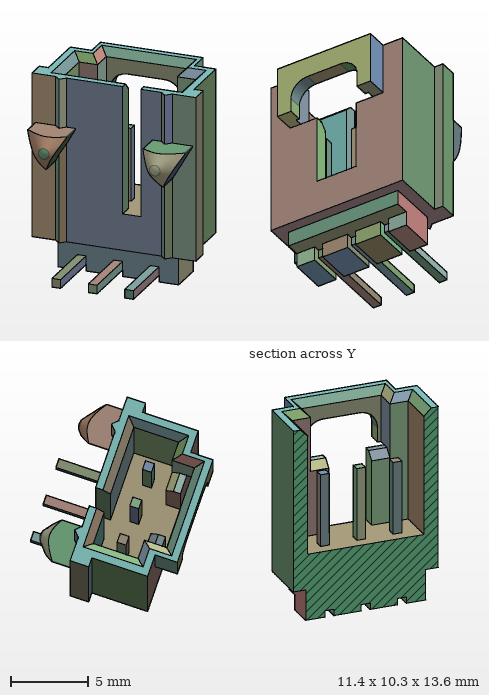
import cadquery as cq
import math

PITCH = 2.54
PIN_COUNT = 3
PIN_SIZE = 0.61

HOUSING_HEIGHT = 11.43
FLANGE_WIDTH = 11.43
FLANGE_DEPTH = 1.27
BODY_WIDTH = 10.16
BODY_DEPTH = 5.08

HOOD_WIDTH = 7.16
HOOD_BACK = 6.60
HOOD_BOTTOM = 7.62

FLOOR_Z = 2.54
CAVITY_WIDTH = 8.12
CAVITY_FRONT = 1.02
CAVITY_BACK = 4.08
HOOD_CAVITY_WIDTH = 5.56
HOOD_CAVITY_BACK = 5.60
LEAD_IN = 0.52

KEY_SLOT_LEFT = 0.61
KEY_SLOT_WIDTH = 1.27
BACK_GAP_WIDTH = 3.0
LATCH_WINDOW_WIDTH = 5.08
LATCH_WINDOW_TOP = 9.91
LATCH_WINDOW_RADIUS = 1.27

RIB_X = 3.69
RIB_HEIGHT = 0.38

PEG_X = 4.08
PEG_TOP = 8.01
PEG_SIDE = 2.89
PEG_CORNER_RADIUS = 0.04
NOSE_X = 3.87
NOSE_Z = 7.0
NOSE_LENGTH = 2.66
DOME_BASE = 2.55
DOME_RADIUS = 0.37
CONE_HALF_ANGLE = 51.0
CONE_BASE_RADIUS = 2.2

BASE_WIDTH = 8.43
BASE_FRONT = 0.75
BASE_BACK = 4.30
BASE_STEP_BACK = 3.30
BASE_STEP_DROP = 1.10
BASE_DROP = 2.16

PIN_Y = 2.54
PIN_FRONT = -3.69
PIN_TOP = 7.62


def box(x_range, y_range, z_range):
    """Axis-aligned box between pairs of limits."""
    size = [high - low for low, high in (x_range, y_range, z_range)]
    corner = (x_range[0], y_range[0], z_range[0])
    return cq.Workplane("XY").box(*size, centered=False).translate(corner)


def centred_box(width, y_range, z_range):
    """Box centred on X = 0."""
    return box((-width / 2, width / 2), y_range, z_range)


def lead_in_pocket(width, y_range, floor, top):
    """Rectangular pocket whose mouth widens at 45 degrees up to the top."""
    y_middle = sum(y_range) / 2
    depth = y_range[1] - y_range[0]
    straight = centred_box(width, y_range, (floor, top))
    mouth = (
        cq.Workplane("XY", origin=(0, y_middle, top - LEAD_IN))
        .rect(width, depth)
        .workplane(offset=LEAD_IN)
        .rect(width + 2 * LEAD_IN, depth + 2 * LEAD_IN)
        .loft(ruled=True)
    )
    return straight.union(mouth)


def housing_outside():
    full_height = (0, HOUSING_HEIGHT)
    flange = centred_box(FLANGE_WIDTH, (0, FLANGE_DEPTH), full_height)
    body = centred_box(BODY_WIDTH, (0, BODY_DEPTH), full_height)
    hood = centred_box(HOOD_WIDTH, (CAVITY_BACK, HOOD_BACK), (HOOD_BOTTOM, HOUSING_HEIGHT))
    return flange.union(body).union(hood)


def socket_cavity():
    socket = lead_in_pocket(CAVITY_WIDTH, (CAVITY_FRONT, CAVITY_BACK), FLOOR_Z, HOUSING_HEIGHT)
    hood_space = lead_in_pocket(
        HOOD_CAVITY_WIDTH, (CAVITY_FRONT, HOOD_CAVITY_BACK), HOOD_BOTTOM, HOUSING_HEIGHT
    )
    back_wall_bevel = (
        cq.Workplane("YZ", origin=(-HOOD_CAVITY_WIDTH / 2, 0, 0))
        .moveTo(CAVITY_BACK, HOOD_BOTTOM - LEAD_IN)
        .lineTo(CAVITY_BACK + LEAD_IN, HOOD_BOTTOM)
        .lineTo(CAVITY_BACK, HOOD_BOTTOM)
        .close()
        .extrude(HOOD_CAVITY_WIDTH)
    )
    return socket.union(hood_space).union(back_wall_bevel)


def wall_openings():
    key_slot = box(
        (KEY_SLOT_LEFT, KEY_SLOT_LEFT + KEY_SLOT_WIDTH), (0, CAVITY_FRONT), (FLOOR_Z, HOUSING_HEIGHT)
    )
    back_gap = centred_box(BACK_GAP_WIDTH, (CAVITY_BACK, BODY_DEPTH), (FLOOR_Z, HOOD_BOTTOM))
    latch_window = (
        centred_box(LATCH_WINDOW_WIDTH, (HOOD_CAVITY_BACK, HOOD_BACK), (HOOD_BOTTOM, LATCH_WINDOW_TOP))
        .edges("|Y and >Z")
        .fillet(LATCH_WINDOW_RADIUS)
    )
    return key_slot.union(back_gap).union(latch_window)


def crush_rib(x):
    return (
        cq.Workplane("XY")
        .moveTo(x - RIB_HEIGHT, 0)
        .lineTo(x, -RIB_HEIGHT)
        .lineTo(x + RIB_HEIGHT, 0)
        .close()
        .extrude(HOUSING_HEIGHT)
    )


def mounting_peg():
    """Peg on the +X side, pointing towards -Y."""
    apex_z = PEG_TOP - PEG_SIDE * math.sqrt(3) / 2
    prism = (
        cq.Workplane("XZ")
        .moveTo(PEG_X - PEG_SIDE / 2, PEG_TOP)
        .lineTo(PEG_X + PEG_SIDE / 2, PEG_TOP)
        .lineTo(PEG_X, apex_z)
        .close()
        .extrude(NOSE_LENGTH)
        .edges("|Y")
        .fillet(PEG_CORNER_RADIUS)
    )
    cone_length = (CONE_BASE_RADIUS - DOME_RADIUS) / math.tan(math.radians(CONE_HALF_ANGLE))
    dome_rise = NOSE_LENGTH - DOME_BASE
    sphere_radius = (DOME_RADIUS**2 + dome_rise**2) / (2 * dome_rise)
    half_angle = math.asin(DOME_RADIUS / sphere_radius) / 2
    dome_middle = (
        sphere_radius * math.sin(half_angle),
        -NOSE_LENGTH + sphere_radius * (1 - math.cos(half_angle)),
    )
    nose = (
        cq.Workplane("XY")
        .moveTo(0, 0)
        .lineTo(CONE_BASE_RADIUS, 0)
        .lineTo(CONE_BASE_RADIUS, cone_length - DOME_BASE)
        .lineTo(DOME_RADIUS, -DOME_BASE)
        .threePointArc(dome_middle, (0, -NOSE_LENGTH))
        .close()
        .revolve(360, (0, 0), (0, 1))
        .translate((NOSE_X, 0, NOSE_Z))
    )
    return prism.intersect(nose)


def base_block():
    block = centred_box(BASE_WIDTH, (BASE_FRONT, BASE_BACK), (-BASE_STEP_DROP, 0))
    step = centred_box(BASE_WIDTH, (BASE_FRONT, BASE_STEP_BACK), (-BASE_DROP, -BASE_STEP_DROP))
    return block.union(step)


def pin_groove(x):
    """Channel through the lower step of the base block, holding one pin."""
    return box(
        (x - PIN_SIZE / 2, x + PIN_SIZE / 2), (BASE_FRONT, BASE_STEP_BACK), (-BASE_DROP, -BASE_STEP_DROP)
    )


def bent_pin(x):
    x_range = (x - PIN_SIZE / 2, x + PIN_SIZE / 2)
    tail_bottom = -BASE_STEP_DROP - PIN_SIZE
    pin_back = PIN_Y + PIN_SIZE / 2
    tail = box(x_range, (PIN_FRONT, pin_back), (tail_bottom, -BASE_STEP_DROP))
    contact = box(x_range, (pin_back - PIN_SIZE, pin_back), (tail_bottom, PIN_TOP))
    return tail.union(contact)


result = housing_outside().cut(socket_cavity()).cut(wall_openings()).union(base_block())

for rib_x in (-RIB_X, RIB_X):
    result = result.union(crush_rib(rib_x))

peg = mounting_peg()
result = result.union(peg).union(peg.mirror("YZ"))

for index in range(PIN_COUNT):
    pin_x = (index - (PIN_COUNT - 1) / 2) * PITCH
    result = result.cut(pin_groove(pin_x)).union(bent_pin(pin_x))